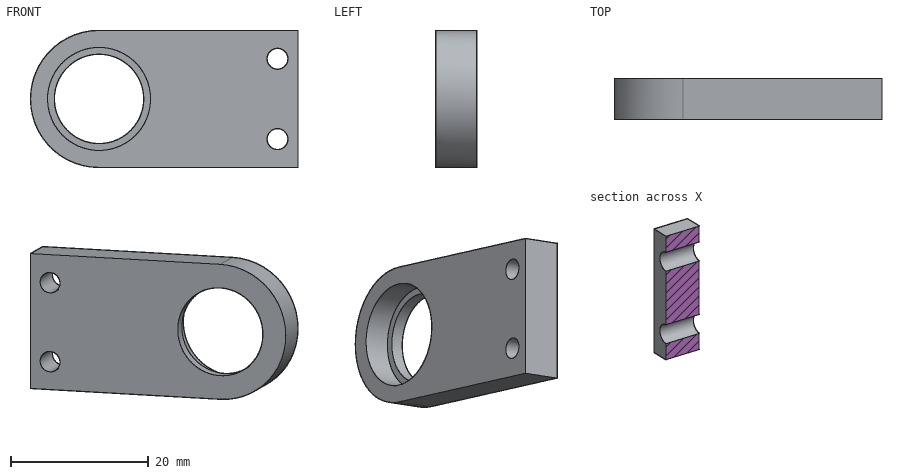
import cadquery as cq

length = 39.0
thickness = 6.0
height = 20.0
end_radius = height / 2
straight_length = length - end_radius

bore_diameter = 13.0
counterbore_diameter = 15.0
counterbore_depth = 4.0

mount_hole_diameter = 3.0
mount_hole_spacing = 11.7
mount_hole_edge_distance = 3.0
mount_hole_x = straight_length - mount_hole_edge_distance


def cylinder_along_y(x, z, diameter, depth):
    """Cylinder starting at the front face (Y = 0) and running toward +Y."""
    axis_point = cq.Vector(x, 0, z)
    return cq.Workplane(cq.Solid.makeCylinder(diameter / 2, depth, axis_point, cq.Vector(0, 1, 0)))


plate = (
    cq.Workplane("XZ")
    .moveTo(0, end_radius)
    .lineTo(straight_length, end_radius)
    .lineTo(straight_length, -end_radius)
    .lineTo(0, -end_radius)
    .threePointArc((-end_radius, 0), (0, end_radius))
    .close()
    .extrude(-thickness)
)

result = plate.cut(cylinder_along_y(0, 0, bore_diameter, thickness))
result = result.cut(cylinder_along_y(0, 0, counterbore_diameter, counterbore_depth))

for side in (-1, 1):
    mount_hole_z = side * mount_hole_spacing / 2
    result = result.cut(cylinder_along_y(mount_hole_x, mount_hole_z, mount_hole_diameter, thickness))